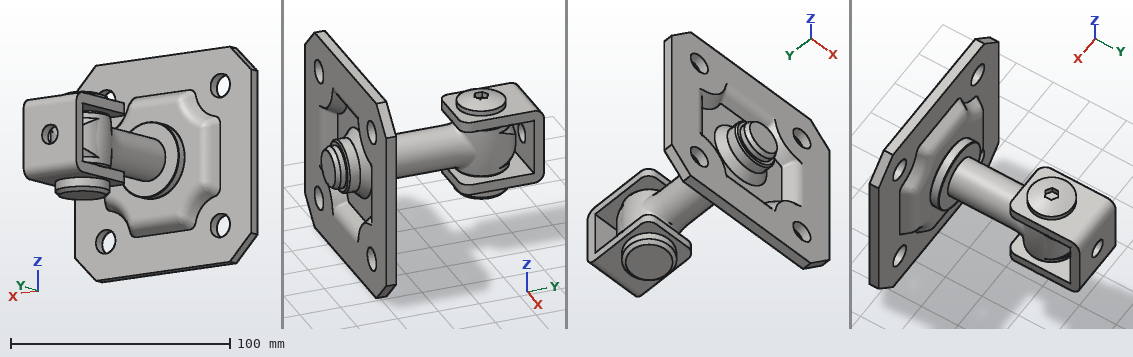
import cadquery as cq
import math


plate_side = 100
plate_thickness = 5
plate_corner_cut = 12
bolt_hole_diameter = 11
bolt_hole_offset = 32.5

dome_height = 6.6
dome_draft = 30
dome_half_side = 32.5
dome_corner_radius = 14.2
dome_edge_fillet = 4.5
dome_top_fillet = 6
recess_half_side = 33.4
recess_rim_radius = 6
recess_corner_radius = 16.8
recess_edge_fillet = 2

nut_diameter = 25
nut_seat_diameter = 33
nut_seat_height = 4.2
nut_front_y = -3.5
nut_chamfer = 0.8
washer_diameter = 35
washer_thickness = 4.9
washer_chamfer = 0.3

bolt_diameter = 20
bolt_tip_diameter = 17.3
bolt_tip_length = 2.2
bolt_front_y = -8.4
pivot_distance = 75
eye_height = 25.2
eye_end_radius = 11.8
eye_chamfer = 1
eye_mid_radius = 13.5
neck_length = 16.8
neck_flare_radius = 32
neck_root_fillet = 2
neck_embed = 6
neck_margin = 1
nose_height = 18
nose_side_radius = 12.4
nose_reach = 16

fork_width = 30
fork_length = 40
fork_height = 37
fork_thickness = 5
fork_bend_radius = 5
fork_tip_radius = 5
fork_back_reach = 25
fork_back_hole_diameter = 9

pivot_diameter = 14.8
pivot_bore_diameter = 15
screw_head_diameter = 22.5
screw_head_rim = 2.4
screw_head_height = 4.9
socket_sides = 6
socket_width = 6
socket_depth = 3
cap_diameter = 25
cap_height = 6
cap_chamfer = 1.8
cap_bore_depth = 3

draft_slope = math.tan(math.radians(dome_draft))
plate_back_y = plate_thickness
recess_floor_y = dome_height
dome_top_y = plate_thickness + dome_height
washer_back_y = dome_top_y + washer_thickness
pivot_y = bolt_front_y + pivot_distance
fork_back_y = pivot_y + fork_back_reach
fork_front_y = fork_back_y - fork_length
bolt_radius = bolt_diameter / 2
flat_edge_tolerance = 0.1
corner_signs = [(1, 1), (1, -1), (-1, 1), (-1, -1)]


def workplane_at_y(y):
    """A plane facing +Y, whose local axes are -X and +Z."""
    return cq.Workplane(cq.Plane(origin=(0, y, 0), xDir=(-1, 0, 0), normal=(0, 1, 0)))


def workplane_at_pivot(z):
    """A horizontal plane centred on the pivot axis."""
    return cq.Workplane(cq.Plane(origin=(0, pivot_y, z), xDir=(1, 0, 0), normal=(0, 0, 1)))


def cylinder_y(diameter, start_y, end_y):
    return workplane_at_y(start_y).circle(diameter / 2).extrude(end_y - start_y)


def corner_cones(start_y, start_radius, depth):
    """Cones around the bolt holes, widening with Y, that scallop the corners of the dome."""
    end_y = start_y + depth
    end_radius = start_radius + depth * draft_slope
    cone = (
        cq.Workplane("XY")
        .polyline([(0, start_y), (start_radius, start_y), (end_radius, end_y), (0, end_y)])
        .close()
        .revolve(360, (0, 0, 0), (0, 1, 0))
    )
    return [
        cone.translate((sx * bolt_hole_offset, 0, sz * bolt_hole_offset))
        for sx, sz in corner_signs
    ]


def rising_edges(body):
    """The corner edges, which climb along Y."""
    return [edge for edge in body.edges().vals() if edge.BoundingBox().ylen > flat_edge_tolerance]


def make_dome():
    dome = (
        workplane_at_y(plate_back_y)
        .rect(2 * dome_half_side, 2 * dome_half_side)
        .extrude(dome_height, taper=dome_draft)
    )
    for cone in corner_cones(plate_back_y, dome_corner_radius, dome_height):
        dome = dome.cut(cone)
    dome = dome.newObject(rising_edges(dome)).fillet(dome_edge_fillet)
    return dome.faces(">Y").edges().fillet(dome_top_fillet)


def recess_bar():
    """Prism with the recess section: rounded rims, sloping walls and a flat floor."""
    wall_angle = math.radians(90 - dome_draft)

    def rim_point(turn):
        x = recess_half_side - recess_rim_radius * math.sin(turn)
        y = recess_rim_radius * (1 - math.cos(turn))
        return x, y

    mid_x, mid_y = rim_point(wall_angle / 2)
    wall_x, wall_y = rim_point(wall_angle)
    floor_x = wall_x - (recess_floor_y - wall_y) * draft_slope
    return (
        cq.Workplane("XY")
        .moveTo(-recess_half_side, 0)
        .threePointArc((-mid_x, mid_y), (-wall_x, wall_y))
        .lineTo(-floor_x, recess_floor_y)
        .lineTo(floor_x, recess_floor_y)
        .lineTo(wall_x, wall_y)
        .threePointArc((mid_x, mid_y), (recess_half_side, 0))
        .close()
        .extrude(recess_half_side, both=True)
    )


def make_recess():
    bar = recess_bar()
    recess = bar.intersect(bar.rotate((0, 0, 0), (0, 1, 0), 90))
    for cone in corner_cones(0, recess_corner_radius, recess_floor_y):
        recess = recess.cut(cone)
    return recess.newObject(rising_edges(recess)).fillet(recess_edge_fillet)


def make_wall_plate():
    plate = (
        workplane_at_y(0)
        .rect(plate_side, plate_side)
        .extrude(plate_thickness)
        .edges("|Y")
        .chamfer(plate_corner_cut)
    )
    bolt_holes = (
        workplane_at_y(0)
        .rect(2 * bolt_hole_offset, 2 * bolt_hole_offset, forConstruction=True)
        .vertices()
        .circle(bolt_hole_diameter / 2)
        .extrude(plate_thickness)
    )
    eye_bolt_hole = cylinder_y(bolt_diameter, 0, dome_top_y)
    return plate.union(make_dome()).cut(make_recess()).cut(bolt_holes).cut(eye_bolt_hole)


def make_nut():
    """Round nut whose conical seat bears on the floor of the recess."""
    nut_radius = nut_diameter / 2
    return (
        cq.Workplane("XY")
        .polyline(
            [
                (bolt_radius, nut_front_y),
                (nut_radius - nut_chamfer, nut_front_y),
                (nut_radius, nut_front_y + nut_chamfer),
                (nut_radius, recess_floor_y - nut_seat_height),
                (nut_seat_diameter / 2, recess_floor_y),
                (bolt_radius, recess_floor_y),
            ]
        )
        .close()
        .revolve(360, (0, 0, 0), (0, 1, 0))
    )


def make_washer():
    washer = cylinder_y(washer_diameter, dome_top_y, washer_back_y).edges().chamfer(washer_chamfer)
    return washer.cut(cylinder_y(bolt_diameter, dome_top_y, washer_back_y))


def make_shank():
    """Straight shank with a tapered tip and a neck that flares out into the eye."""
    neck_start_y = pivot_y - neck_length
    neck_end_y = pivot_y - neck_embed

    def flare_radius(y):
        rise = y - neck_start_y
        return bolt_radius + neck_flare_radius - math.sqrt(neck_flare_radius**2 - rise**2)

    neck_mid_y = (neck_start_y + neck_end_y) / 2
    return (
        cq.Workplane("XY")
        .moveTo(0, bolt_front_y)
        .lineTo(bolt_tip_diameter / 2, bolt_front_y)
        .lineTo(bolt_radius, bolt_front_y + bolt_tip_length)
        .lineTo(bolt_radius, neck_start_y)
        .threePointArc((flare_radius(neck_mid_y), neck_mid_y), (flare_radius(neck_end_y), neck_end_y))
        .lineTo(0, neck_end_y)
        .close()
        .revolve(360, (0, 0, 0), (0, 1, 0))
    )


def make_eye_barrel():
    """Bulged barrel around the pivot axis, with chamfered ends."""
    half_height = eye_height / 2
    shoulder_z = half_height - eye_chamfer
    shoulder_radius = eye_end_radius + eye_chamfer
    return (
        cq.Workplane("XZ")
        .moveTo(0, -half_height)
        .lineTo(eye_end_radius, -half_height)
        .lineTo(shoulder_radius, -shoulder_z)
        .threePointArc((eye_mid_radius, 0), (shoulder_radius, shoulder_z))
        .lineTo(eye_end_radius, half_height)
        .lineTo(0, half_height)
        .close()
        .revolve(360, (0, 0, 0), (0, 1, 0))
        .translate((0, pivot_y, 0))
    )


def make_eye_nose():
    """Raised pad on the far side of the eye, rounded both across and along the pivot axis."""
    nose_center_y = nose_reach - nose_side_radius
    upright = (
        workplane_at_pivot(-nose_height / 2)
        .moveTo(-nose_side_radius, 0)
        .lineTo(-nose_side_radius, nose_center_y)
        .threePointArc((0, nose_reach), (nose_side_radius, nose_center_y))
        .lineTo(nose_side_radius, 0)
        .close()
        .extrude(nose_height)
    )
    ball = cq.Workplane("XY").sphere(nose_reach).translate((0, pivot_y, 0))
    return upright.intersect(ball)


def make_eye_bolt():
    bolt = make_shank().union(make_eye_barrel())
    around_neck_root = cq.selectors.BoxSelector(
        (-eye_mid_radius, pivot_y - neck_length + neck_margin, -eye_height / 2),
        (eye_mid_radius, pivot_y - neck_embed, eye_height / 2),
        boundingbox=True,
    )
    bolt = bolt.edges(around_neck_root).fillet(neck_root_fillet)
    bolt = bolt.union(make_eye_nose())
    pivot_bore = (
        workplane_at_pivot(-eye_height / 2)
        .circle(pivot_bore_diameter / 2)
        .extrude(eye_height)
    )
    return bolt.cut(pivot_bore)


def make_fork():
    inner_height = fork_height - 2 * fork_thickness
    inner_length = fork_length - fork_thickness
    fork = (
        cq.Workplane("XY")
        .box(fork_width, fork_length, fork_height)
        .edges("|X and >Y")
        .fillet(fork_bend_radius)
        .edges("|Z and <Y")
        .fillet(fork_tip_radius)
        .translate((0, fork_front_y + fork_length / 2, 0))
    )
    gap = (
        cq.Workplane("XY")
        .box(fork_width, inner_length, inner_height)
        .translate((0, fork_front_y + inner_length / 2, 0))
    )
    pivot_bore = (
        workplane_at_pivot(-fork_height / 2)
        .circle(pivot_bore_diameter / 2)
        .extrude(fork_height)
    )
    back_hole = cylinder_y(fork_back_hole_diameter, fork_back_y - fork_thickness, fork_back_y)
    return fork.cut(gap).cut(pivot_bore).cut(back_hole)


def make_pivot_screw():
    """Domed head with a hexagon socket, on a plain pivot that ends inside the cap nut."""
    head_z = fork_height / 2
    rim_z = head_z + screw_head_rim
    crown_z = head_z + screw_head_height
    pivot_end_z = -fork_height / 2 - cap_bore_depth
    head_radius = screw_head_diameter / 2
    crown_rise = crown_z - rim_z
    crown_radius = (head_radius**2 + crown_rise**2) / (2 * crown_rise)
    crown_mid_x = head_radius / 2
    crown_mid_z = crown_z - crown_radius + math.sqrt(crown_radius**2 - crown_mid_x**2)
    screw = (
        cq.Workplane("XZ")
        .moveTo(0, pivot_end_z)
        .lineTo(pivot_diameter / 2, pivot_end_z)
        .lineTo(pivot_diameter / 2, head_z)
        .lineTo(head_radius, head_z)
        .lineTo(head_radius, rim_z)
        .threePointArc((crown_mid_x, crown_mid_z), (0, crown_z))
        .close()
        .revolve(360, (0, 0, 0), (0, 1, 0))
        .translate((0, pivot_y, 0))
    )
    socket_half_angle = 180 / socket_sides
    socket_corner_diameter = socket_width / math.cos(math.radians(socket_half_angle))
    socket = (
        workplane_at_pivot(crown_z - socket_depth)
        .polygon(socket_sides, socket_corner_diameter)
        .extrude(socket_depth)
        .rotate((0, pivot_y, 0), (0, pivot_y, 1), socket_half_angle)
    )
    return screw.cut(socket)


def make_cap_nut():
    """Round cap nut under the fork, with a blind bore for the end of the pivot."""
    cap_top_z = -fork_height / 2
    cap = (
        workplane_at_pivot(cap_top_z - cap_height)
        .circle(cap_diameter / 2)
        .extrude(cap_height)
        .faces("<Z")
        .edges()
        .chamfer(cap_chamfer)
    )
    bore = (
        workplane_at_pivot(cap_top_z - cap_bore_depth)
        .circle(pivot_diameter / 2)
        .extrude(cap_bore_depth)
    )
    return cap.cut(bore)


wall_plate = make_wall_plate()
nut = make_nut()
washer = make_washer()
eye_bolt = make_eye_bolt()
fork = make_fork()
pivot_screw = make_pivot_screw()
cap_nut = make_cap_nut()

result = cq.Compound.makeCompound(
    [
        wall_plate.val(),
        nut.val(),
        washer.val(),
        eye_bolt.val(),
        fork.val(),
        pivot_screw.val(),
        cap_nut.val(),
    ]
)